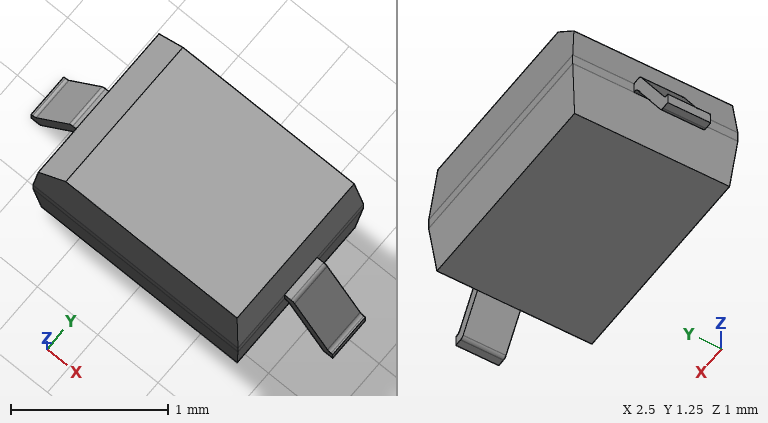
import cadquery as cq
import math

LENGTH = 2.5
HEIGHT = 1.0

BODY_LENGTH = 1.7
BODY_WIDTH = 1.25
STANDOFF = 0.05
DRAFT = 5.3
CHAMFER_RUN = 0.238
CHAMFER_DROP = 0.195

LEAD_WIDTH = 0.325
LEAD_THICKNESS = 0.08
LEAD_TOP = 0.542
LEAD_SLOPE = 57.6
FOOT_LENGTH = 0.032
BEND_RADIUS = 0.035

BAND_BOTTOM = LEAD_TOP - LEAD_THICKNESS
BODY_END = BODY_LENGTH / 2
LEAD_TIP = LENGTH / 2


def tapered_half(z, height, direction):
    """Housing half that narrows by the draft angle away from the band."""
    plane = cq.Plane(origin=(0, 0, z), xDir=(1, 0, 0), normal=(0, 0, direction))
    return cq.Workplane(plane).rect(BODY_LENGTH, BODY_WIDTH).extrude(height, taper=DRAFT)


def make_housing():
    """Molded housing: straight band, two drafted halves, one bevelled top edge."""
    band = (
        cq.Workplane("XY", origin=(0, 0, BAND_BOTTOM))
        .rect(BODY_LENGTH, BODY_WIDTH)
        .extrude(LEAD_THICKNESS)
    )
    upper = tapered_half(LEAD_TOP, HEIGHT - LEAD_TOP, 1)
    lower = tapered_half(BAND_BOTTOM, BAND_BOTTOM - STANDOFF, -1)

    bevel_z = HEIGHT - CHAMFER_DROP
    bevel_low = (-BODY_END + (bevel_z - LEAD_TOP) * math.tan(math.radians(DRAFT)), bevel_z)
    bevel_high = (-BODY_END + CHAMFER_RUN, HEIGHT)
    run = bevel_high[0] - bevel_low[0]
    start = (bevel_low[0] - run, bevel_low[1] - CHAMFER_DROP)
    end = (bevel_high[0] + run, bevel_high[1] + CHAMFER_DROP)
    wedge = (
        cq.Workplane("XZ")
        .polyline([start, end, (start[0], end[1])])
        .close()
        .extrude(BODY_WIDTH / 2, both=True)
    )
    return band.union(upper).union(lower).cut(wedge)


def make_lead(side):
    """Bent strip from the housing band down to the seating plane; side is -1 or +1."""
    upper_foot_x = LEAD_TIP - FOOT_LENGTH
    slope_run = BAND_BOTTOM / math.tan(math.radians(LEAD_SLOPE))
    upper_shoulder_x = upper_foot_x - slope_run
    corner_shift = LEAD_THICKNESS * math.tan(math.radians(LEAD_SLOPE / 2))
    outline = [
        (BODY_END, LEAD_TOP),
        (upper_shoulder_x, LEAD_TOP),
        (upper_foot_x, LEAD_THICKNESS),
        (LEAD_TIP, LEAD_THICKNESS),
        (LEAD_TIP, 0),
        (upper_foot_x - corner_shift, 0),
        (upper_shoulder_x - corner_shift, BAND_BOTTOM),
        (BODY_END, BAND_BOTTOM),
    ]
    strip = (
        cq.Workplane("XZ")
        .polyline([(side * x, z) for x, z in outline])
        .close()
        .extrude(LEAD_WIDTH / 2, both=True)
    )
    bends = strip.edges("|Y").edges(
        cq.selectors.BoxSelector(
            (side * (BODY_END + BEND_RADIUS / 2), -LEAD_WIDTH, -LEAD_TOP),
            (side * (LEAD_TIP - FOOT_LENGTH / 2), LEAD_WIDTH, 2 * LEAD_TOP),
        )
    )
    return bends.fillet(BEND_RADIUS)


housing = make_housing()
leads = [make_lead(side) for side in (-1, 1)]

result = cq.Compound.makeCompound([housing.solids().val(), *[lead.solids().val() for lead in leads]])